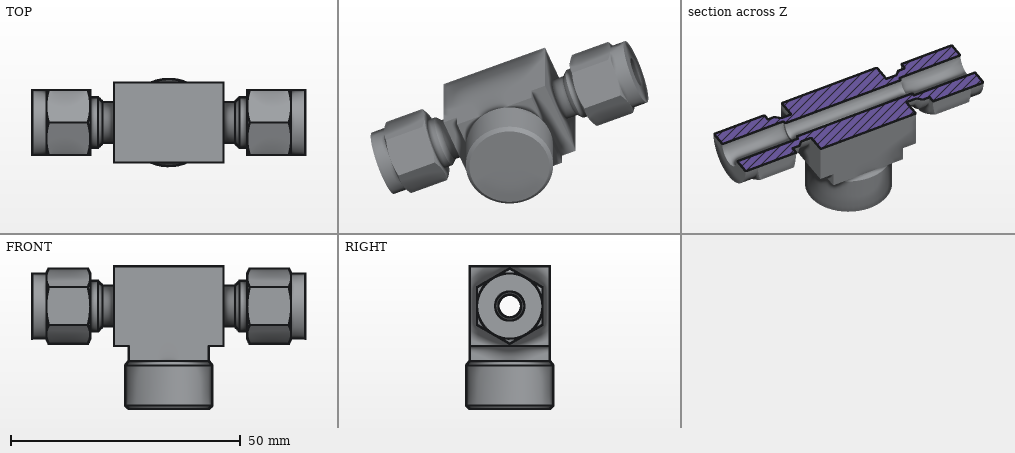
import cadquery as cq
import math

overall_length = 59.45
half_length = overall_length / 2

body_length = 23.85
body_side = 17.4
pedestal_height = 3.2

branch_diameter = 19.0
branch_length = 10.45
branch_chamfer_radial = (branch_diameter - body_side) / 2
branch_top_chamfer_height = 0.95
branch_bottom_chamfer_height = 0.7

neck_diameter = 9.0
collar_diameter = 11.05
collar_chamfer = (collar_diameter - neck_diameter) / 2
collar_length = 2.7
nut_across_flats = 14.2
nut_across_corners = nut_across_flats / math.cos(math.radians(30))
nose_length = 3.1
hex_length = 9.55
hex_corner_chamfer = 0.55

bore_diameter = 4.9
tube_socket_diameter = 6.35
tube_socket_depth = 15.2

nut_outer_x = half_length - nose_length
nut_inner_x = nut_outer_x - hex_length
collar_x = nut_inner_x - collar_length


def x_cylinder(diameter, start, end):
    """Solid cylinder on the run axis between two X stations."""
    return cq.Workplane("YZ", origin=(start, 0, 0)).circle(diameter / 2).extrude(end - start)


def make_body():
    """Body block with the pedestal that carries the branch."""
    block = cq.Workplane("XY").box(body_length, body_side, body_side)
    pedestal = (
        cq.Workplane("XY", origin=(0, 0, -body_side / 2))
        .rect(body_side, body_side)
        .extrude(-pedestal_height)
    )
    return block.union(pedestal)


def make_branch():
    """Cylindrical branch end, chamfered at both rims."""
    top = -body_side / 2 - pedestal_height
    bottom = top - branch_length
    radius = branch_diameter / 2
    rim_radius = radius - branch_chamfer_radial
    return (
        cq.Workplane("XZ")
        .moveTo(0, top)
        .lineTo(rim_radius, top)
        .lineTo(radius, top - branch_top_chamfer_height)
        .lineTo(radius, bottom + branch_bottom_chamfer_height)
        .lineTo(rim_radius, bottom)
        .lineTo(0, bottom)
        .close()
        .revolve(360, (0, 0, 0), (0, 1, 0))
    )


def make_hexagon():
    """Hexagonal part of the nut, flats facing +Y and -Y, corners turned off at both ends."""
    prism = (
        cq.Workplane("YZ", origin=(nut_inner_x, 0, 0))
        .transformed(rotate=(0, 0, 90))
        .polygon(6, nut_across_corners)
        .extrude(hex_length)
    )
    corner_depth = (nut_across_corners - nut_across_flats) / 2
    turned_blank = (
        x_cylinder(nut_across_corners, nut_inner_x, nut_outer_x)
        .faces("<X or >X")
        .edges()
        .chamfer(hex_corner_chamfer, corner_depth)
    )
    return prism.intersect(turned_blank)


def make_run_end():
    """Neck, collar and nut on the +X side."""
    neck = x_cylinder(neck_diameter, 0, nut_inner_x)
    collar = x_cylinder(collar_diameter, collar_x, nut_inner_x).faces("<X").chamfer(collar_chamfer)
    nose = x_cylinder(nut_across_flats, nut_outer_x, half_length)
    return neck.union(collar).union(make_hexagon()).union(nose)


run_end = make_run_end()
result = make_body().union(make_branch()).union(run_end).union(run_end.mirror("YZ"))

result = result.cut(x_cylinder(bore_diameter, -half_length, half_length))
tube_socket = x_cylinder(tube_socket_diameter, half_length - tube_socket_depth, half_length)
result = result.cut(tube_socket).cut(tube_socket.mirror("YZ"))